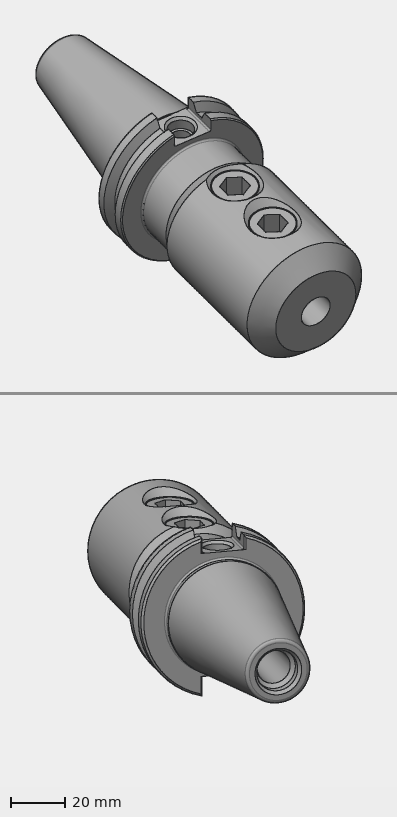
import cadquery as cq
import math

total_length = 169.8
gauge_x = 68.1
gauge_d = 44.5
taper_ratio = 7 / 24
small_end_d = gauge_d - gauge_x * taper_ratio
small_end_round = 1.4
relief_d = 44.0
relief_step = 0.5

flange_d = 63.2
flange_x = 71.3
flange_width = 16.0
flange_back_x = flange_x + flange_width
flange_middle_x = flange_x + flange_width / 2
front_rim_chamfer = 0.8
back_rim_chamfer = 0.5
flange_root_round = 0.76
groove_d = 56.2
groove_floor_width = 3.5
groove_flank_angle = 30.0

neck_d = gauge_d
body_d = 50.8
body_x = 108.5
shoulder_angle = 30.0
nose_chamfer = 7.6

bore_d = 12.7
thread_d = 15.8
thread_depth = 4.6
mouth_d = 18.0
mouth_chamfer_length = 1.5

slot_width = 16.1
slot_corner_round = 0.7
slot_entry_chamfer = 0.7
upper_slot_floor = 25.0
lower_slot_floor = 22.8

floor_hole_d = 10.2
floor_hole_depth = 5.1
floor_hole_chamfer = 1.0
drill_d = 8.0
drill_depth = 8.5
drill_point_angle = 135.0

screw_spacing = 25.3
first_screw_x = 115.7
screw_xs = [first_screw_x, first_screw_x + screw_spacing]
screw_d = 18.0
screw_top = 22.3
screw_chamfer = 0.3
screw_bottom = 8.5
countersink_start = 22.5
socket_across_flats = 9.9
socket_depth = 8.5


def outer_shape():
    """Solid of revolution about X: taper, grooved flange, neck and nose."""
    groove_flank = (flange_d - groove_d) / 2 * math.tan(math.radians(groove_flank_angle))
    floor_half = groove_floor_width / 2
    mouth_half = floor_half + groove_flank
    shoulder = (body_d - neck_d) / 2 / math.tan(math.radians(shoulder_angle))
    small_r, gauge_r, relief_r = small_end_d / 2, gauge_d / 2, relief_d / 2
    flange_r, groove_r = flange_d / 2, groove_d / 2
    neck_r, body_r = neck_d / 2, body_d / 2
    profile = [
        (0, 0),
        (0, small_r),
        (gauge_x, gauge_r),
        (gauge_x + relief_step, relief_r),
        (flange_x, relief_r),
        (flange_x, flange_r - front_rim_chamfer),
        (flange_x + front_rim_chamfer, flange_r),
        (flange_middle_x - mouth_half, flange_r),
        (flange_middle_x - floor_half, groove_r),
        (flange_middle_x + floor_half, groove_r),
        (flange_middle_x + mouth_half, flange_r),
        (flange_back_x - back_rim_chamfer, flange_r),
        (flange_back_x, flange_r - back_rim_chamfer),
        (flange_back_x, neck_r),
        (body_x - shoulder, neck_r),
        (body_x, body_r),
        (total_length - nose_chamfer, body_r),
        (total_length, body_r - nose_chamfer),
        (total_length, 0),
    ]
    shape = cq.Workplane("XY").polyline(profile).close().revolve(360, (0, 0, 0), (1, 0, 0))
    shape = shape.faces("<X").edges().fillet(small_end_round)
    for root_x, root_r in ((flange_x, relief_r), (flange_back_x, neck_r)):
        root = cq.selectors.BoxSelector(
            (root_x - 0.02, -root_r - 0.2, -root_r - 0.2),
            (root_x + 0.02, root_r + 0.2, root_r + 0.2),
            boundingbox=True,
        )
        shape = shape.edges(root).fillet(flange_root_round)
    return shape


def drawbar_bore():
    """Through bore with a wider threaded end and a chamfered mouth."""
    bore_r, thread_r, mouth_r = bore_d / 2, thread_d / 2, mouth_d / 2
    profile = [
        (0, 0),
        (0, mouth_r),
        (mouth_chamfer_length, thread_r),
        (thread_depth, thread_r),
        (thread_depth + thread_r - bore_r, bore_r),
        (total_length, bore_r),
        (total_length, 0),
    ]
    return cq.Workplane("XY").polyline(profile).close().revolve(360, (0, 0, 0), (1, 0, 0))


def drive_slot(floor):
    """Cutter for a slot along X above the given height, with bevelled entry edges."""
    half = slot_width / 2
    flared_half = half + slot_entry_chamfer
    height = flange_d / 2 - floor + 1.7
    slot = (
        cq.Workplane("XY", origin=(flange_x, 0, floor))
        .box(flange_width, slot_width, height, centered=(False, True, False))
        .edges("|X and <Z")
        .fillet(slot_corner_round)
    )
    front_flare = (
        cq.Workplane("XY", origin=(flange_x, 0, floor))
        .polyline([(0, -flared_half), (slot_entry_chamfer, -half), (slot_entry_chamfer, half), (0, flared_half)])
        .close()
        .extrude(height)
    )
    return slot.union(front_flare)


def floor_hole():
    """Cutter for the chamfered, stepped and drill-pointed hole in the upper slot floor."""
    hole_r, drill_r = floor_hole_d / 2, drill_d / 2
    point = drill_r / math.tan(math.radians(drill_point_angle / 2))
    profile = [
        (0, 0),
        (hole_r + floor_hole_chamfer, 0),
        (hole_r, -floor_hole_chamfer),
        (hole_r, -floor_hole_depth),
        (drill_r, -floor_hole_depth),
        (drill_r, -drill_depth),
        (0, -drill_depth - point),
    ]
    cutter = cq.Workplane("XZ").polyline(profile).close().revolve(360, (0, 0, 0), (0, 1, 0))
    return cutter.translate((flange_middle_x, 0, upper_slot_floor))


def screw_seat(x):
    """Cutter for a blind screw hole opening into a 45 degree countersink."""
    seat_r = screw_d / 2
    top = body_d / 2 + 1.7
    profile = [
        (0, screw_bottom),
        (seat_r, screw_bottom),
        (seat_r, countersink_start),
        (seat_r + top - countersink_start, top),
        (0, top),
    ]
    cutter = cq.Workplane("XZ").polyline(profile).close().revolve(360, (0, 0, 0), (0, 1, 0))
    return cutter.translate((x, 0, 0))


def make_holder():
    holder = outer_shape().cut(drawbar_bore())
    lower_slot = drive_slot(lower_slot_floor).rotate((0, 0, 0), (1, 0, 0), 180)
    holder = holder.cut(drive_slot(upper_slot_floor)).cut(lower_slot).cut(floor_hole())
    for x in screw_xs:
        holder = holder.cut(screw_seat(x))
    return holder


def make_clamp_screw(x):
    """Headless screw with a hexagon socket that has two flats facing +Y and -Y."""
    screw = (
        cq.Workplane("XY", origin=(x, 0, screw_bottom))
        .circle(screw_d / 2)
        .extrude(screw_top - screw_bottom)
        .faces(">Z")
        .chamfer(screw_chamfer)
    )
    socket_across_corners = socket_across_flats / math.cos(math.pi / 6)
    return screw.faces(">Z").workplane().polygon(6, socket_across_corners).cutBlind(-socket_depth)


holder = make_holder()
clamp_screws = [make_clamp_screw(x) for x in screw_xs]
result = cq.Compound.makeCompound([holder.val(), *[screw.val() for screw in clamp_screws]])